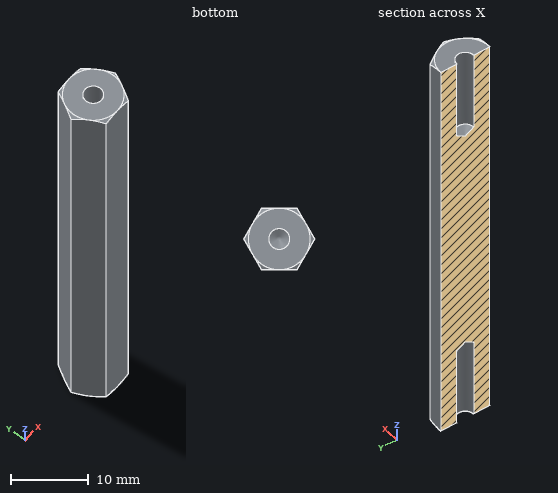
import cadquery as cq
import math

length = 64.0
across_flats = 7.95
across_corners = across_flats / math.cos(math.radians(30))
chamfer_angle = 30.0
hole_diameter = 2.7
hole_depth = 12.8
drill_point_angle = 118.0


def chamfered_hexagon():
    """Hexagonal bar whose corners are turned down to the flats at both ends."""
    bar = cq.Workplane("XY").polygon(6, across_corners).extrude(length)
    face_radius = across_flats / 2
    outer_radius = across_corners
    drop = (outer_radius - face_radius) * math.tan(math.radians(chamfer_angle))
    envelope = (
        cq.Workplane("XZ")
        .moveTo(0, 0)
        .lineTo(face_radius, 0)
        .lineTo(outer_radius, drop)
        .lineTo(outer_radius, length - drop)
        .lineTo(face_radius, length)
        .lineTo(0, length)
        .close()
        .revolve(360, (0, 0), (0, 1))
    )
    return bar.intersect(envelope)


def drilled_hole():
    """Blind hole from the top face, ending in a conical drill point."""
    radius = hole_diameter / 2
    point_depth = radius / math.tan(math.radians(drill_point_angle / 2))
    shoulder = length - hole_depth
    return (
        cq.Workplane("XZ")
        .moveTo(0, length)
        .lineTo(radius, length)
        .lineTo(radius, shoulder)
        .lineTo(0, shoulder - point_depth)
        .close()
        .revolve(360, (0, 0), (0, 1))
    )


top_hole = drilled_hole()
bottom_hole = top_hole.mirror("XY", (0, 0, length / 2))
result = chamfered_hexagon().cut(top_hole).cut(bottom_hole)